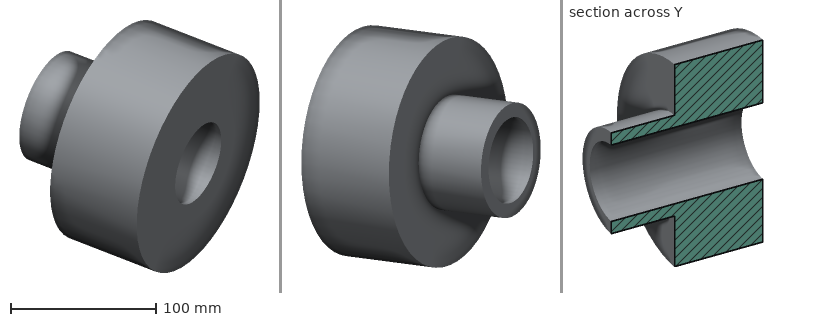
import cadquery as cq

flange_diameter = 160.0
total_length = 120.0
hub_diameter = flange_diameter / 2
bore_diameter = 60.0
hub_length = 50.0
flange_length = total_length - hub_length


def disc_along_x(diameter, start_x, length):
    """Solid cylinder on the X axis, starting at start_x and running toward +X."""
    return cq.Workplane("YZ", origin=(start_x, 0, 0)).circle(diameter / 2).extrude(length)


hub = disc_along_x(hub_diameter, 0, hub_length)
flange = disc_along_x(flange_diameter, hub_length, flange_length)

bore = disc_along_x(bore_diameter, 0, total_length)

result = hub.union(flange).cut(bore)